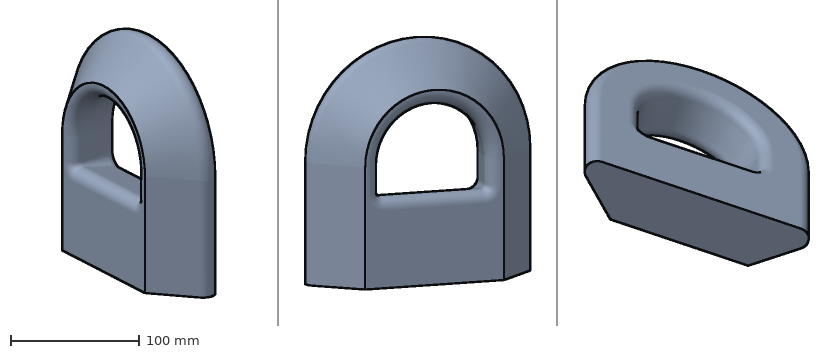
import cadquery as cq
import math

height = 190.0
width = 186.4
outer_radius = width / 2
depth = 47.0
arch_center_z = height - outer_radius

rim_radius = 9.9
front_radius = 57.8
rim_center_x = outer_radius - rim_radius

window_radius = 45.6
window_bottom_z = 71.6
window_corner_radius = 3.6
window_edge_radius = 9.9
window_flare = 10.0
flare = math.radians(window_flare)
selection_margin = 0.2

front_inset = window_edge_radius * (math.tan(flare) * (1 + math.sin(flare)) - (1 - math.cos(flare)))


def rim_point(angle):
    """Point on the rim round; angle is measured from +X toward the front (-Y)."""
    return (
        rim_center_x + rim_radius * math.cos(angle),
        -rim_radius - rim_radius * math.sin(angle),
    )


edge_dx = front_radius - rim_center_x
edge_dy = rim_radius - depth
edge_distance = math.hypot(edge_dx, edge_dy)
tangent_angle = math.atan2(-edge_dy, edge_dx) - math.acos(rim_radius / edge_distance)


def half_section(workplane):
    """Half of the body section, from the middle plane out to the rim."""
    return (
        workplane.moveTo(0, 0)
        .lineTo(rim_center_x, 0)
        .threePointArc(rim_point(0), rim_point(tangent_angle))
        .lineTo(front_radius, -depth)
        .lineTo(0, -depth)
        .close()
    )


def make_body():
    """Straight lower block joined to the revolved arch."""
    right_block = half_section(cq.Workplane("XY")).extrude(arch_center_z)
    left_block = right_block.mirror("YZ")
    section_plane = cq.Workplane("XY", origin=(0, 0, arch_center_z))
    arch = half_section(section_plane).revolve(180, (0, 0), (0, -1))
    return right_block.union(left_block).union(arch).clean()


def make_window_cutter():
    """Flared window, an arch above a sill with rounded lower corners."""
    half_width = window_radius - front_inset
    sill_z = window_bottom_z + front_inset
    corner = window_corner_radius - front_inset
    corner_mid = corner * (1 - math.sqrt(0.5))
    return (
        cq.Workplane("XZ", origin=(0, -depth, 0))
        .moveTo(-half_width + corner, sill_z)
        .lineTo(half_width - corner, sill_z)
        .threePointArc((half_width - corner_mid, sill_z + corner_mid), (half_width, sill_z + corner))
        .lineTo(half_width, arch_center_z)
        .threePointArc((0, arch_center_z + half_width), (-half_width, arch_center_z))
        .lineTo(-half_width, sill_z + corner)
        .threePointArc((-half_width + corner_mid, sill_z + corner_mid), (-half_width + corner, sill_z))
        .close()
        .extrude(-depth, taper=-window_flare)
    )


def round_window_edges(body):
    """Round the window's edges on the front and back faces."""
    for face_y, reach in ((-depth, window_radius), (0, front_radius + window_edge_radius)):
        edge_zone = cq.selectors.BoxSelector(
            (-reach, face_y - selection_margin, arch_center_z - reach),
            (reach, face_y + selection_margin, arch_center_z + reach),
            boundingbox=True,
        )
        body = body.edges(edge_zone).fillet(window_edge_radius)
    return body


result = round_window_edges(make_body().cut(make_window_cutter()))